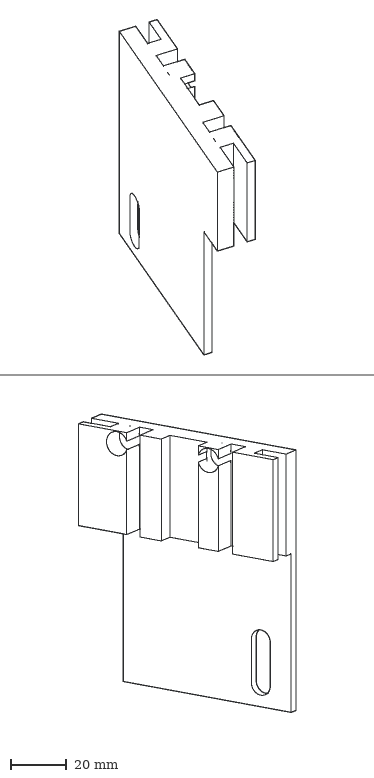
import cadquery as cq

width = 83.2
depth = 14.9
height = 97.0

plate_width = 71.8
plate_thickness = 3.2
head_height = 37.9
head_bottom = height - head_height

groove_floor = 6.5
recess_floor = 9.3
lip_thickness = 3.2
lip_front = depth - lip_thickness

left_groove_x = 17.4
left_groove_width = 6.1
right_groove_x = 56.8
right_groove_width = 5.7
recess_x = 32.0
recess_width = 15.8
left_side_groove_depth = 10.2
right_side_groove_depth = 11.6

slot_width = 8.0
slot_length = 24.25
slot_center_x = 13.0
slot_center_z = 16.5

pocket_diameter = 8.9
pocket_top_web = 0.3
pocket_center_z = height - pocket_top_web - pocket_diameter / 2
pocket_centers_x = (27.7, 66.7)


def block(x_min, x_max, y_min, y_max, z_min, z_max):
    """Axis-aligned box between the given limits."""
    size = (x_max - x_min, y_max - y_min, z_max - z_min)
    return cq.Workplane("XY").box(*size, centered=False).translate((x_min, y_min, z_min))


def head_groove(x_min, x_max, y_min, y_max):
    """Cutter running over the full height of the head."""
    return block(x_min, x_max, y_min, y_max, head_bottom, height)


head = block(0, width, 0, depth, head_bottom, height)
plate = block(0, plate_width, 0, plate_thickness, 0, head_bottom)
body = head.union(plate)

back_cuts = [
    (left_groove_x, left_groove_width, groove_floor),
    (recess_x, recess_width, recess_floor),
    (right_groove_x, right_groove_width, groove_floor),
]
for x_min, cut_width, floor in back_cuts:
    body = body.cut(head_groove(x_min, x_min + cut_width, floor, depth))

body = body.cut(head_groove(0, left_side_groove_depth, groove_floor, lip_front))
body = body.cut(head_groove(width - right_side_groove_depth, width, groove_floor, lip_front))

pockets = (
    cq.Workplane("XZ", origin=(0, groove_floor, 0))
    .pushPoints([(x, pocket_center_z) for x in pocket_centers_x])
    .circle(pocket_diameter / 2)
    .extrude(groove_floor - depth)
)
body = body.cut(pockets)

slot = (
    cq.Workplane("XZ")
    .center(slot_center_x, slot_center_z)
    .slot2D(slot_length, slot_width, 90)
    .extrude(-plate_thickness)
)

result = body.cut(slot)